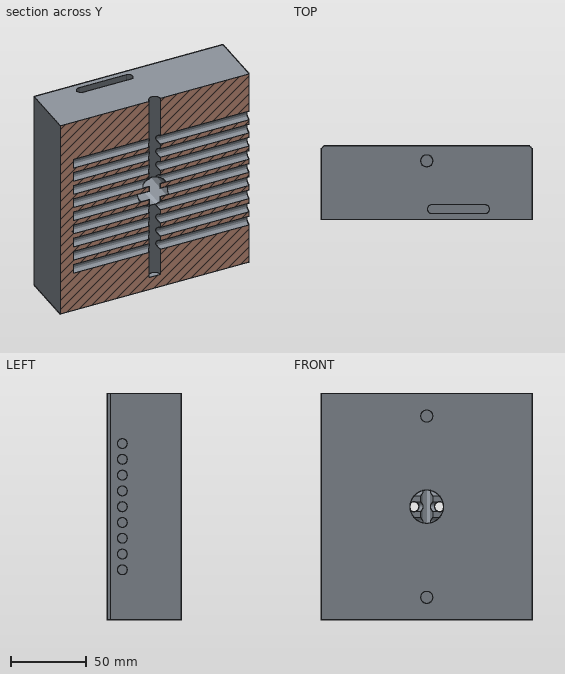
import cadquery as cq

width = 139.75
depth = 49.0
height = 150.0
back_chamfer = 2.0
front_face = -depth / 2
back_face = depth / 2

channel_back_distance = 10.0
channel_plane = back_face - channel_back_distance
riser_diameter = 8.0
cross_channel_diameter = 6.5
cross_channel_count = 9
cross_channel_pitch = 10.45

end_wall = 10.0

bore_diameter = 22.0
bore_depth = channel_plane - front_face

outlet_diameter = 6.5
outlet_offset = 8.5

mount_diameter = 8.0
mount_offset = 60.0
mount_depth = 20.0

slot_length = 41.0
slot_width = 6.0
slot_center_x = 21.0
slot_front_distance = 7.0
slot_center_y = front_face + slot_front_distance
slot_depth = 10.0


def cylinder(diameter, length, start, direction):
    """Return a cylinder that begins at start and runs along direction."""
    solid = cq.Solid.makeCylinder(diameter / 2, length, cq.Vector(*start), cq.Vector(*direction))
    return cq.Workplane(solid)


def make_block():
    """Block with both upright back edges chamfered."""
    return cq.Workplane().box(width, depth, height).edges("|Z and >Y").chamfer(back_chamfer)


def make_front_openings():
    """Central bore with a mounting hole above and below it."""
    openings = cylinder(bore_diameter, bore_depth, (0, front_face, 0), (0, 1, 0))
    for z in (-mount_offset, mount_offset):
        openings = openings.union(cylinder(mount_diameter, mount_depth, (0, front_face, z), (0, 1, 0)))
    return openings


def make_channels():
    """Blind riser from the top face, crossed by a column of blind channels from the -X face."""
    channels = cylinder(riser_diameter, height - end_wall, (0, channel_plane, height / 2), (0, 0, -1))
    cross_channel_length = width - end_wall
    middle = (cross_channel_count - 1) / 2
    for index in range(cross_channel_count):
        z = (index - middle) * cross_channel_pitch
        channels = channels.union(
            cylinder(cross_channel_diameter, cross_channel_length, (-width / 2, channel_plane, z), (1, 0, 0))
        )
    return channels


def make_outlets():
    """Two holes from the middle cross channel to the back face."""
    length = back_face - channel_plane
    left = cylinder(outlet_diameter, length, (-outlet_offset, channel_plane, 0), (0, 1, 0))
    right = cylinder(outlet_diameter, length, (outlet_offset, channel_plane, 0), (0, 1, 0))
    return left.union(right)


def make_slot():
    """Round-ended slot cut down from the top face."""
    return (
        cq.Workplane(origin=(slot_center_x, slot_center_y, height / 2))
        .slot2D(slot_length, slot_width)
        .extrude(-slot_depth)
    )


result = (
    make_block()
    .cut(make_front_openings())
    .cut(make_channels())
    .cut(make_outlets())
    .cut(make_slot())
)